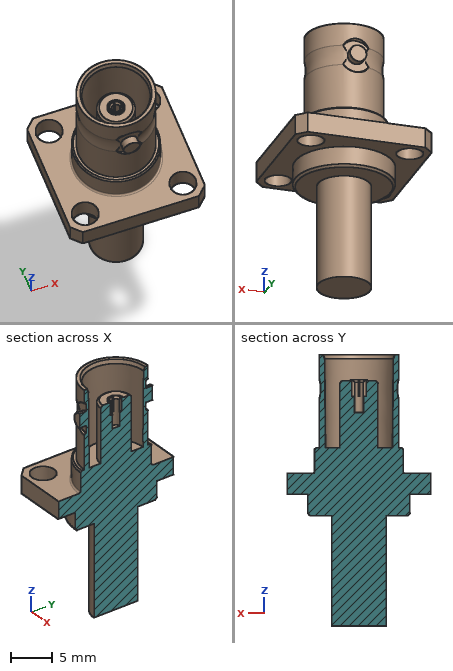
import cadquery as cq
import math

flange_side = 17.5
flange_bottom = 16.0
flange_top = 18.58
flange_corner = 1.22
hole_radius = 1.65
hole_pitch = 12.67

total_height = 33.0
stem_radius = 3.33
boss_radius = 6.25
boss_bottom = 13.4
boss_chamfer = 0.3
collar_radius = 5.4
collar_top = 21.68
collar_chamfer = 0.2
collar_root_fillet = 0.23
barrel_radius = 4.85

pin_height = 28.85
groove_half_width = 1.3
groove_radius = 4.7

pin_radius = 1.05
pin_reach = 5.55
seat_distance = 4.55
seat_radius = 2.05
seat_flare = 0.2

socket_floor = collar_top
socket_floor_radius = 4.05
socket_radius = 4.15
mouth_radius = 4.35
mouth_depth = 0.53

insulator_radius = 2.35
insulator_top = 29.83
insulator_chamfer = 0.3
contact_radius = 1.1
contact_chamfer = 0.1
contact_top = insulator_top + contact_chamfer
contact_mouth_radius = 0.8
contact_bore_radius = 0.53
contact_bore_depth = 3.95
contact_slot_reach = 0.85
contact_slot_width = 0.15
contact_slot_depth = 1.98


def revolve(points):
    """Turn a closed (radius, height) outline about the Z axis."""
    return cq.Workplane("XZ").polyline(points).close().revolve(360, (0, 0, 0), (0, 1, 0))


def make_flange():
    plate = (
        cq.Workplane("XY", origin=(0, 0, flange_bottom))
        .rect(flange_side, flange_side)
        .extrude(flange_top - flange_bottom)
        .edges("|Z")
        .chamfer(flange_corner)
    )
    holes = (
        cq.Workplane("XY", origin=(0, 0, flange_bottom))
        .rect(hole_pitch, hole_pitch, forConstruction=True)
        .vertices()
        .circle(hole_radius)
        .extrude(flange_top - flange_bottom)
    )
    return plate.cut(holes)


def make_turned_body():
    return revolve([
        (0, 0),
        (stem_radius, 0),
        (stem_radius, boss_bottom),
        (boss_radius - boss_chamfer, boss_bottom),
        (boss_radius, boss_bottom + boss_chamfer),
        (boss_radius, flange_bottom),
        (collar_radius, flange_bottom),
        (collar_radius, collar_top - collar_chamfer),
        (collar_radius - collar_chamfer, collar_top),
        (barrel_radius, collar_top),
        (barrel_radius, total_height),
        (0, total_height),
    ])


def make_socket():
    return revolve([
        (0, socket_floor),
        (socket_floor_radius, socket_floor),
        (socket_radius, total_height - mouth_depth),
        (mouth_radius, total_height),
        (0, total_height),
    ])


def make_insulator():
    return revolve([
        (0, socket_floor),
        (insulator_radius, socket_floor),
        (insulator_radius, insulator_top - insulator_chamfer),
        (insulator_radius - insulator_chamfer, insulator_top),
        (0, insulator_top),
    ])


def make_contact():
    return revolve([
        (0, socket_floor),
        (contact_radius, socket_floor),
        (contact_radius, contact_top - contact_chamfer),
        (contact_radius - contact_chamfer, contact_top),
        (0, contact_top),
    ])


def make_contact_bore():
    mouth_bottom = contact_top - (contact_mouth_radius - contact_bore_radius)
    bore = revolve([
        (0, contact_top - contact_bore_depth),
        (contact_bore_radius, contact_top - contact_bore_depth),
        (contact_bore_radius, mouth_bottom),
        (contact_mouth_radius, contact_top),
        (0, contact_top),
    ])
    for angle in (0, 90):
        slot = (
            cq.Workplane("XY", origin=(0, 0, contact_top - contact_slot_depth))
            .rect(2 * contact_slot_reach, contact_slot_width)
            .extrude(contact_slot_depth)
            .rotate((0, 0, 0), (0, 0, 1), angle)
        )
        bore = bore.union(slot)
    return bore


def make_groove():
    return (
        cq.Workplane("XZ")
        .moveTo(barrel_radius, pin_height - groove_half_width)
        .threePointArc((groove_radius, pin_height), (barrel_radius, pin_height + groove_half_width))
        .close()
        .revolve(360, (0, 0, 0), (0, 1, 0))
    )


def make_collar_root():
    """Concave fillet between the collar and the top of the flange."""
    arc_inset = collar_root_fillet * (1 - math.sqrt(0.5))
    return (
        cq.Workplane("XZ")
        .moveTo(collar_radius, flange_top)
        .lineTo(collar_radius + collar_root_fillet, flange_top)
        .threePointArc(
            (collar_radius + arc_inset, flange_top + arc_inset),
            (collar_radius, flange_top + collar_root_fillet),
        )
        .close()
        .revolve(360, (0, 0, 0), (0, 1, 0))
    )


def front_and_back(shape):
    """Return a shape on the -Y side together with its mirror image on the +Y side."""
    return shape.union(shape.mirror("XZ"))


def make_pin_seats():
    profile = (
        cq.Workplane("XY", origin=(0, 0, pin_height))
        .moveTo(0, -seat_distance)
        .lineTo(seat_radius, -seat_distance)
        .lineTo(seat_radius + seat_flare, -barrel_radius)
        .lineTo(0, -barrel_radius)
        .close()
    )
    return front_and_back(profile.revolve(360, (0, 0, 0), (0, 1, 0)))


def make_pins():
    pin = (
        cq.Workplane("XZ", origin=(0, -socket_radius, pin_height))
        .circle(pin_radius)
        .extrude(pin_reach - socket_radius)
    )
    return front_and_back(pin)


shell = make_turned_body().union(make_flange()).union(make_collar_root())
shell = shell.cut(make_groove()).cut(make_pin_seats()).union(make_pins())
shell = shell.cut(make_socket())
result = shell.union(make_insulator()).union(make_contact()).cut(make_contact_bore())